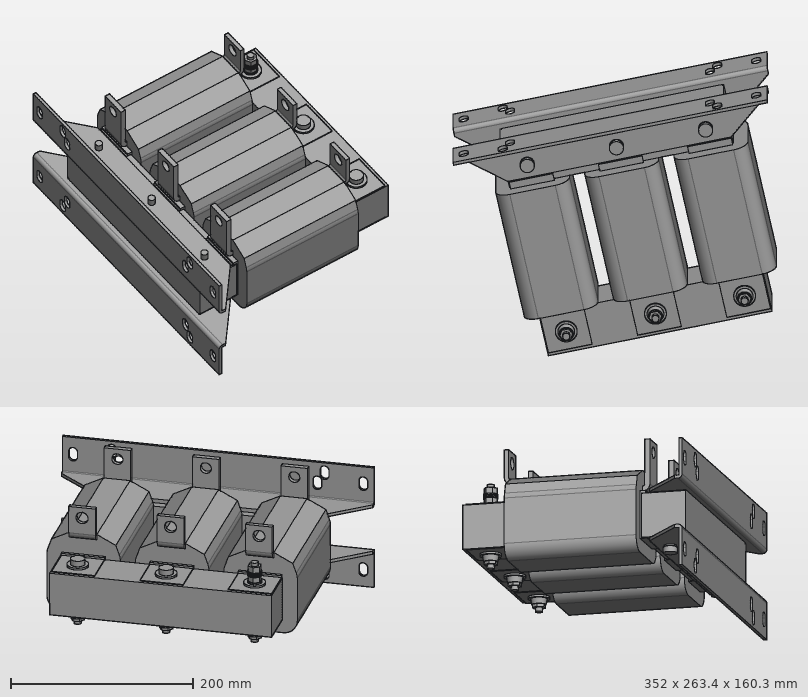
import cadquery as cq
import math

overall_height = 160.3

core_width = 251.0
core_length = 253.35
core_height = 50.0
yoke_depth = 50.0
leg_width = 49.0
leg_pitch = 100.0
leg_positions = [-leg_pitch, 0.0, leg_pitch]
core_end = core_length / 2
core_top = core_height / 2
yoke_center = core_end - yoke_depth / 2

coil_length = 150.0
coil_end = coil_length / 2
coil_half_width = 41.5
coil_half_height = 41.7
coil_corner_radius = 16.0
crown_top = 53.5
crown_flat_half_width = 15.0
crown_shoulder_half_width = 36.4
crown_shoulder_height = 42.7
crown_foot_height = 30.7

sheet_thickness = 1.0
sheet_top = core_top + sheet_thickness
leg_sheet_rear_margin = 3.6
leg_sheet_front_reach = 8.0
leg_sheet_rear = core_end - leg_sheet_rear_margin
leg_sheet_front = -coil_end - leg_sheet_front_reach
collar_height = 2.2
rear_collar_depth = 3.6
front_collar_depth = 6.0
clamp_sheet_width = 248.0

clamp_length = 352.0
clamp_thickness = 3.6
clamp_bend_radius = 4.6
clamp_outer_height = 71.7
clamp_overhang = 10.0
clamp_front = -core_end - clamp_overhang
clamp_coil_gap = 10.8
clamp_rear = -coil_end - clamp_coil_gap
clamp_rear_width = core_width
clamp_end_depth = 8.6

slot_width = 10.0
slot_length = 16.0
slot_positions = [(164.0, 51.5), (120.3, 60.0), (112.0, 47.0)]

terminal_width = 30.0
terminal_bend_radius = 8.0
rear_terminal_thickness = 5.0
rear_terminal_reach = 7.2
rear_terminal_face = coil_end + rear_terminal_reach
rear_terminal_bottom = 47.5
rear_terminal_top = 87.1
rear_terminal_hole_height = 74.8
rear_terminal_hole = 13.5
front_terminal_thickness = 6.0
front_terminal_reach = 8.4
front_terminal_face = coil_end + front_terminal_reach
front_terminal_bottom = 29.7
front_terminal_top = overall_height - clamp_outer_height
front_terminal_hole_height = 76.6
front_terminal_hole = 12.5

yoke_washer_diameter = 24.0
yoke_washer_thickness = 2.2
screw_head_diameter = 16.0
screw_head_height = 6.5
stud_diameter = 8.0
small_washer_diameter = 16.0
small_washer_thickness = 1.6
spring_washer_diameter = 14.0
nut_flats = 13.0
nut_height = 6.8
stud_top = 52.2
sleeve_top_diameter = 18.5
sleeve_bottom_diameter = 15.6
sleeve_height = 6.5
lower_nut_height = 3.4
stud_bottom = -42.7
clamp_screw_inset = 24.2
clamp_screw_center = -core_end + clamp_screw_inset
clamp_screw_top = 37.6
clamp_screw_bottom = -38.3
clamp_screw_head_diameter = 15.6
clamp_washer_diameter = 13.4
clamp_washer_thickness = 2.0


def block(x_range, y_range, z_range):
    """Box between the given limits on each axis."""
    size = [high - low for low, high in (x_range, y_range, z_range)]
    corner = (x_range[0], y_range[0], z_range[0])
    return cq.Workplane("XY").box(*size, centered=False).translate(corner)


def disc(x, y, z, diameter, height):
    """Vertical cylinder standing on height z."""
    return cq.Workplane("XY").center(x, y).circle(diameter / 2).extrude(height).translate((0, 0, z))


def nut(x, y, z, height, turn):
    """Hexagon nut standing on height z, turned about its axis."""
    corner_diameter = nut_flats / math.cos(math.pi / 6)
    hexagon = cq.Workplane("XY").polygon(6, corner_diameter).extrude(height)
    return hexagon.rotate((0, 0, 0), (0, 0, 1), turn).translate((x, y, z))


def make_core():
    """Two full-width yokes with narrower legs between them."""
    half_width = core_width / 2
    window_end = core_end - yoke_depth
    across = (-half_width, half_width)
    upright = (-core_top, core_top)
    core = block(across, (window_end, core_end), upright)
    core = core.union(block(across, (-core_end, -window_end), upright))
    for x in leg_positions:
        leg = (x - leg_width / 2, x + leg_width / 2)
        core = core.union(block(leg, (-window_end, window_end), upright))
    return core


def make_coil(x):
    """Rounded winding with a faceted crown whose feet lie on its rounded upper corners."""
    winding = cq.Workplane("XY").box(2 * coil_half_width, coil_length, 2 * coil_half_height)
    winding = winding.edges("|Y").fillet(coil_corner_radius)
    foot_rise = crown_foot_height - (coil_half_height - coil_corner_radius)
    foot_reach = math.sqrt(coil_corner_radius**2 - foot_rise**2)
    foot_half_width = coil_half_width - coil_corner_radius + foot_reach
    right_side = [
        (foot_half_width, 0),
        (foot_half_width, crown_foot_height),
        (crown_shoulder_half_width, crown_shoulder_height),
        (crown_flat_half_width, crown_top),
    ]
    left_side = [(-px, pz) for px, pz in reversed(right_side)]
    crown = cq.Workplane("XZ").polyline(right_side + left_side).close()
    crown = crown.extrude(coil_end, both=True)
    return winding.union(crown).translate((x, 0, 0))


def make_leg_insulation(x):
    """Sheets above and below the leg, and the collars at both coil ends."""
    across = (x - leg_width / 2, x + leg_width / 2)
    sheets = block(across, (leg_sheet_front, leg_sheet_rear), (-sheet_top, sheet_top))
    collar_z = (core_top, sheet_top + collar_height)
    collars = block(across, (-coil_end - front_collar_depth, coil_end + rear_collar_depth), collar_z)
    return sheets.union(collars)


def make_clamp_sheets():
    """Sheets between the front yoke and the two clamp angles."""
    half_width = clamp_sheet_width / 2
    return block((-half_width, half_width), (-core_end, clamp_rear), (-sheet_top, sheet_top))


def bent_strip(face, inner_end, bottom, top, thickness, bend_radius):
    """L-shaped profile in the YZ plane: a flat leg bent upward at its outer face."""
    inner_radius = bend_radius - thickness
    bend_y = face - bend_radius
    bend_z = bottom + bend_radius
    diagonal = math.sqrt(0.5)
    outer_mid = (bend_y + bend_radius * diagonal, bend_z - bend_radius * diagonal)
    inner_mid = (bend_y + inner_radius * diagonal, bend_z - inner_radius * diagonal)
    return (
        cq.Workplane("YZ")
        .moveTo(inner_end, bottom)
        .lineTo(bend_y, bottom)
        .threePointArc(outer_mid, (face, bend_z))
        .lineTo(face, top)
        .lineTo(face - thickness, top)
        .lineTo(face - thickness, bend_z)
        .threePointArc(inner_mid, (bend_y, bottom + thickness))
        .lineTo(inner_end, bottom + thickness)
        .close()
    )


def make_upper_clamp():
    """Angle with a tapered flat leg and a slotted upright flange."""
    angle = bent_strip(
        -clamp_front, -clamp_rear, sheet_top, clamp_outer_height, clamp_thickness, clamp_bend_radius
    )
    angle = angle.extrude(clamp_length / 2, both=True).mirror("XZ")
    half_rear = clamp_rear_width / 2
    half_front = clamp_length / 2
    taper_end = clamp_front + clamp_end_depth
    outline = [
        (-half_rear, clamp_rear),
        (-half_front, taper_end),
        (-half_front, clamp_front),
        (half_front, clamp_front),
        (half_front, taper_end),
        (half_rear, clamp_rear),
    ]
    angle = angle.intersect(cq.Workplane("XY").polyline(outline).close().extrude(clamp_outer_height))
    for distance, height in slot_positions:
        slots = (
            cq.Workplane("XZ", origin=(0, clamp_front + clamp_thickness, 0))
            .pushPoints([(-distance, height), (distance, height)])
            .slot2D(slot_length, slot_width, 90)
            .extrude(clamp_thickness)
        )
        angle = angle.cut(slots)
    return angle


def make_terminal(x, face, bottom, top, thickness, hole_height, hole_diameter):
    """Terminal bar leaving the rear end of a coil and bent upward."""
    bar = bent_strip(face, coil_end - terminal_bend_radius, bottom, top, thickness, terminal_bend_radius)
    bar = bar.extrude(terminal_width / 2, both=True)
    hole = cq.Workplane("XZ").center(0, hole_height).circle(hole_diameter / 2).extrude(-face)
    return bar.cut(hole).translate((x, 0, 0))


def make_rear_terminal(x):
    return make_terminal(
        x,
        rear_terminal_face,
        rear_terminal_bottom,
        rear_terminal_top,
        rear_terminal_thickness,
        rear_terminal_hole_height,
        rear_terminal_hole,
    )


def make_front_terminal(x):
    return make_terminal(
        x,
        front_terminal_face,
        front_terminal_bottom,
        front_terminal_top,
        front_terminal_thickness,
        front_terminal_hole_height,
        front_terminal_hole,
    ).mirror("XZ")


def make_yoke_fastener_bottom(x):
    """Washer, tapered sleeve and nut below the rear yoke."""
    y = yoke_center
    washer_z = -sheet_top - yoke_washer_thickness
    sleeve_z = washer_z - sleeve_height
    nut_z = sleeve_z - lower_nut_height
    stack = disc(x, y, washer_z, yoke_washer_diameter, yoke_washer_thickness)
    sleeve = (
        cq.Workplane("XY", origin=(x, y, sleeve_z))
        .circle(sleeve_bottom_diameter / 2)
        .workplane(offset=sleeve_height)
        .circle(sleeve_top_diameter / 2)
        .loft()
    )
    stack = stack.union(sleeve)
    stack = stack.union(nut(x, y, nut_z, lower_nut_height, 0))
    return stack.union(disc(x, y, stud_bottom, stud_diameter, -core_top - stud_bottom))


def make_yoke_screw_top(x):
    """Washer and round screw head on the rear yoke."""
    washer = disc(x, yoke_center, sheet_top, yoke_washer_diameter, yoke_washer_thickness)
    head_z = sheet_top + yoke_washer_thickness
    return washer.union(disc(x, yoke_center, head_z, screw_head_diameter, screw_head_height))


def make_earth_stud_top(x):
    """Threaded stud on the rear yoke with two nuts and their washers."""
    y = yoke_center
    stack = disc(x, y, core_top, stud_diameter, stud_top - core_top)
    z = sheet_top
    layers = [
        (yoke_washer_diameter, yoke_washer_thickness),
        (small_washer_diameter, small_washer_thickness),
        (None, nut_height),
        (small_washer_diameter, small_washer_thickness),
        (spring_washer_diameter, small_washer_thickness),
        (small_washer_diameter, small_washer_thickness),
        (None, nut_height),
    ]
    for diameter, height in layers:
        if diameter is None:
            layer = nut(x, y, z, height, 90)
        else:
            layer = disc(x, y, z, diameter, height)
        stack = stack.union(layer)
        z += height
    return stack


def make_clamp_screw(x):
    """Screw through both clamp angles, head below and plain end above."""
    y = clamp_screw_center
    clamp_face = sheet_top + clamp_thickness
    washer_z = -clamp_face - clamp_washer_thickness
    screw = disc(x, y, core_top, stud_diameter, clamp_screw_top - core_top)
    screw = screw.union(disc(x, y, washer_z, clamp_washer_diameter, clamp_washer_thickness))
    head_height = washer_z - clamp_screw_bottom
    return screw.union(disc(x, y, clamp_screw_bottom, clamp_screw_head_diameter, head_height))


upper_clamp = make_upper_clamp()
result = make_core().union(make_clamp_sheets()).union(upper_clamp).union(upper_clamp.mirror("XY"))
for leg_x in leg_positions:
    result = result.union(make_leg_insulation(leg_x))
    result = result.union(make_coil(leg_x))
    result = result.union(make_rear_terminal(leg_x))
    result = result.union(make_front_terminal(leg_x))
    result = result.union(make_yoke_fastener_bottom(leg_x))
    result = result.union(make_clamp_screw(leg_x))

earth_stud_x = leg_positions[0]
result = result.union(make_earth_stud_top(earth_stud_x))
for screw_x in leg_positions[1:]:
    result = result.union(make_yoke_screw_top(screw_x))